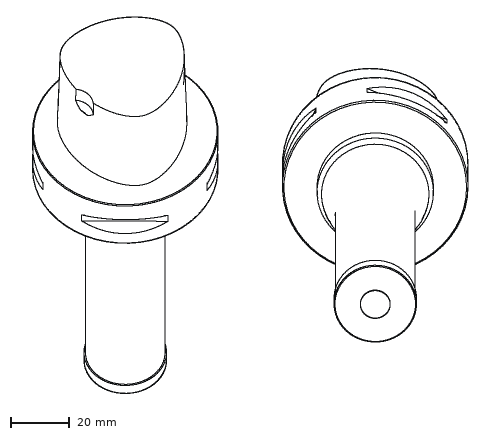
import cadquery as cq
import math


shank_length = 38.0
shank_land = 3.2
shank_base_radius = 22.0
shank_top_radius = 21.1
lobe_height = 1.5
lobe_count = 3
outline_points = 36

key_radius = 6.8
key_depth = 1.7
key_straight = 6.3
key_runout = 2.7

flange_diameter = 63.0
flange_length = 22.0
flange_top_chamfer = 0.3
flange_bottom_chamfer = 0.5
slot_count = 4
slot_z = -12.0
slot_floor_height = 3.4
slot_floor_distance = 27.9
slot_side_angle = 32.0

neck_diameter = 39.5
neck_length = 5.5
neck_chamfer = 0.8
cone_diameter = 36.5
shoulder_length = 1.0
cone_land = 0.5
cone_length = 14.9
bar_diameter = 27.0

total_length = 169.0
cap_diameter = 28.0
cap_length = 4.9
cap_chamfer = 0.3
boss_diameter = 10.1
boss_height = 0.5

flange_bottom = -flange_length
neck_bottom = flange_bottom - neck_length
shoulder_bottom = neck_bottom - shoulder_length
cone_top = shoulder_bottom - cone_land
cone_bottom = cone_top - cone_length
cap_bottom = shank_length - total_length + boss_height
bar_bottom = cap_bottom + cap_length


def lobed_outline(mean_radius, z):
    """Closed three-lobed curve with one lobe pointing along +Y."""
    points = []
    for i in range(outline_points):
        angle = 2 * math.pi * i / outline_points
        lobe_phase = lobe_count * (angle - math.pi / 2)
        support = mean_radius + lobe_height * math.cos(lobe_phase)
        slope = -lobe_count * lobe_height * math.sin(lobe_phase)
        x = support * math.cos(angle) - slope * math.sin(angle)
        y = support * math.sin(angle) + slope * math.cos(angle)
        points.append(cq.Vector(x, y, z))
    return cq.Wire.assembleEdges([cq.Edge.makeSpline(points, periodic=True)])


def make_shank():
    base = lobed_outline(shank_base_radius, 0)
    land = cq.Solid.extrudeLinear(base, [], cq.Vector(0, 0, shank_land))
    taper = cq.Solid.makeLoft(
        [lobed_outline(shank_base_radius, shank_land), lobed_outline(shank_top_radius, shank_length)]
    )
    shank = cq.Workplane(obj=land).union(cq.Workplane(obj=taper))
    return shank.cut(make_keyway())


def make_keyway():
    """Round-bottomed groove that runs out on a cone at its lower end."""
    axis_y = -(shank_top_radius - lobe_height) - key_radius + key_depth
    groove_bottom = shank_length - key_straight
    groove = (
        cq.Workplane("XY", origin=(0, axis_y, groove_bottom))
        .circle(key_radius)
        .extrude(key_straight)
    )
    runout = (
        cq.Workplane("XY", origin=(0, axis_y, groove_bottom))
        .circle(key_radius)
        .workplane(offset=-key_runout)
        .circle(key_radius - key_depth)
        .loft()
    )
    return groove.union(runout)


def make_flange():
    flange = (
        cq.Workplane("XY")
        .circle(flange_diameter / 2)
        .extrude(-flange_length)
        .faces(">Z")
        .chamfer(flange_top_chamfer)
        .faces("<Z")
        .chamfer(flange_bottom_chamfer)
    )
    for i in range(slot_count):
        angle = 360 / slot_count * (i + 0.5)
        flange = flange.cut(make_slot().rotate((0, 0, 0), (0, 0, 1), angle))
    return flange


def make_slot():
    """Straight slot of trapezoid section across the +X side of the flange."""
    mouth = flange_diameter / 2 + 1.7
    floor_half = slot_floor_height / 2
    mouth_half = floor_half + (mouth - slot_floor_distance) * math.tan(math.radians(slot_side_angle))
    return (
        cq.Workplane("XZ")
        .moveTo(slot_floor_distance, slot_z - floor_half)
        .lineTo(mouth, slot_z - mouth_half)
        .lineTo(mouth, slot_z + mouth_half)
        .lineTo(slot_floor_distance, slot_z + floor_half)
        .close()
        .extrude(flange_diameter / 2, both=True)
    )


def make_neck_and_bar():
    """Turned neck, shoulder, S-curved cone and straight bar."""
    neck_radius = neck_diameter / 2
    cone_radius = cone_diameter / 2
    bar_radius = bar_diameter / 2
    return (
        cq.Workplane("XZ")
        .moveTo(0, flange_bottom)
        .lineTo(neck_radius, flange_bottom)
        .lineTo(neck_radius, neck_bottom + neck_chamfer)
        .lineTo(neck_radius - neck_chamfer, neck_bottom)
        .lineTo(cone_radius, shoulder_bottom)
        .lineTo(cone_radius, cone_top)
        .spline([(bar_radius, cone_bottom)], tangents=[(0, -1), (0, -1)], includeCurrent=True)
        .lineTo(bar_radius, bar_bottom)
        .lineTo(0, bar_bottom)
        .close()
        .revolve(360, (0, 0, 0), (0, 1, 0))
    )


def make_end_cap():
    """Slightly wider cap on the bar end, with a low central boss."""
    cap = (
        cq.Workplane("XY", origin=(0, 0, cap_bottom))
        .circle(cap_diameter / 2)
        .extrude(cap_length)
        .faces("<Z")
        .chamfer(cap_chamfer)
    )
    boss = (
        cq.Workplane("XY", origin=(0, 0, cap_bottom))
        .circle(boss_diameter / 2)
        .extrude(-boss_height)
    )
    return cap.union(boss)


holder = make_flange().union(make_shank()).union(make_neck_and_bar())
end_cap = make_end_cap()

result = cq.Compound.makeCompound([holder.val(), end_cap.val()])